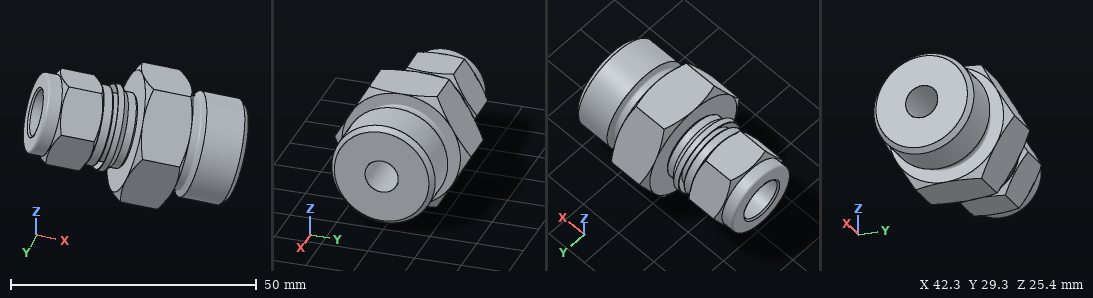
import cadquery as cq
import math

length = 42.3

nut_diameter = 17.0
nut_rounding = 0.55
nut_hex_flats = 17.47
nut_hex_start = 3.0
nut_hex_end = 11.95
nut_skirt_diameter = 16.8
nut_end = 14.1
nut_end_chamfer = 0.25

neck_diameter = 14.3
collar_start = 14.8
collar_diameter = 18.25
dish_diameter = 17.75
dish_depth = 0.95
collar_rim_end = 16.1
collar_taper_end = 17.35
shoulder_diameter = 15.8
shoulder_chamfer = 0.4

body_hex_flats = 25.4
body_hex_start = 19.4
body_hex_end = 29.65

relief_diameter = 19.6
relief_fillet = 0.45
thread_diameter = 22.2
thread_start = 33.1
thread_chamfer_length = 1.1
thread_end_diameter = 20.25
thread_wall_angle = math.radians(60)
relief_end = thread_start - (thread_diameter - relief_diameter) / 2 / math.tan(thread_wall_angle)

through_diameter = 7.1
socket_diameter = 9.75
socket_depth = 12.7
socket_chamfer = 0.4

hex_chamfer_angle = math.radians(30)


def cylinder(diameter, start, end):
    """Solid cylinder along X between two stations."""
    return cq.Workplane("YZ", origin=(start, 0, 0)).circle(diameter / 2).extrude(end - start)


def revolve_profile(points):
    """Revolve a closed outline of (station, radius) points about X."""
    return cq.Workplane("XY").polyline(points).close().revolve(360, (0, 0, 0), (1, 0, 0))


def chamfered_hex(flats, start, end, start_diameter, end_diameter):
    """Hexagon with corners along Y, turned down to the given diameter at each end."""
    corner_radius = flats / math.sqrt(3)
    start_radius = start_diameter / 2
    end_radius = end_diameter / 2
    start_chamfer = (corner_radius - start_radius) * math.tan(hex_chamfer_angle)
    end_chamfer = (corner_radius - end_radius) * math.tan(hex_chamfer_angle)
    prism = (
        cq.Workplane("YZ", origin=(start, 0, 0))
        .polygon(6, 2 * corner_radius)
        .extrude(end - start)
    )
    envelope = revolve_profile([
        (start, 0),
        (start, start_radius),
        (start + start_chamfer, corner_radius),
        (end - end_chamfer, corner_radius),
        (end, end_radius),
        (end, 0),
    ])
    return prism.intersect(envelope)


def make_nut():
    front = cylinder(nut_diameter, 0, nut_hex_end).faces("<X").edges().fillet(nut_rounding)
    skirt = cylinder(nut_skirt_diameter, nut_hex_start, nut_end)
    skirt = skirt.faces(">X").edges().chamfer(nut_end_chamfer)
    hexagon = chamfered_hex(
        nut_hex_flats, nut_hex_start, nut_hex_end, nut_diameter, nut_skirt_diameter
    )
    return front.union(skirt).union(hexagon)


def make_collar():
    """Neck, collar with a conical dish in its front face, and shoulder."""
    shoulder_radius = shoulder_diameter / 2
    return revolve_profile([
        (nut_hex_end, 0),
        (nut_hex_end, neck_diameter / 2),
        (collar_start + dish_depth, neck_diameter / 2),
        (collar_start, dish_diameter / 2),
        (collar_start, collar_diameter / 2),
        (collar_rim_end, collar_diameter / 2),
        (collar_taper_end, shoulder_radius),
        (body_hex_start - shoulder_chamfer, shoulder_radius),
        (body_hex_start, shoulder_radius - shoulder_chamfer),
        (body_hex_start, 0),
    ])


def make_threaded_end():
    """Thread blank whose relief groove runs into both of its walls with fillets."""
    relief_radius = relief_diameter / 2
    fillet_center_radius = relief_radius + relief_fillet
    wall_start = body_hex_end + relief_fillet
    half_wall = thread_wall_angle / 2
    cone_start = relief_end - relief_fillet * math.tan(half_wall)

    def cone_fillet_point(angle):
        return (
            cone_start + relief_fillet * math.sin(angle),
            fillet_center_radius - relief_fillet * math.cos(angle),
        )

    quarter_turn_half = math.radians(45)
    wall_fillet_middle = (
        wall_start - relief_fillet * math.sin(quarter_turn_half),
        fillet_center_radius - relief_fillet * math.cos(quarter_turn_half),
    )
    outline = (
        cq.Workplane("XY")
        .moveTo(body_hex_end, 0)
        .lineTo(body_hex_end, fillet_center_radius)
        .threePointArc(wall_fillet_middle, (wall_start, relief_radius))
        .lineTo(cone_start, relief_radius)
        .threePointArc(cone_fillet_point(half_wall), cone_fillet_point(thread_wall_angle))
        .lineTo(thread_start, thread_diameter / 2)
        .lineTo(length - thread_chamfer_length, thread_diameter / 2)
        .lineTo(length, thread_end_diameter / 2)
        .lineTo(length, 0)
        .close()
    )
    return outline.revolve(360, (0, 0, 0), (1, 0, 0))


def make_bore():
    socket_radius = socket_diameter / 2
    return revolve_profile([
        (0, 0),
        (0, socket_radius + socket_chamfer),
        (socket_chamfer, socket_radius),
        (socket_depth, socket_radius),
        (socket_depth, through_diameter / 2),
        (length, through_diameter / 2),
        (length, 0),
    ])


body_hex = chamfered_hex(
    body_hex_flats, body_hex_start, body_hex_end, body_hex_flats, body_hex_flats
)
result = make_nut().union(make_collar()).union(body_hex).union(make_threaded_end())
result = result.cut(make_bore())